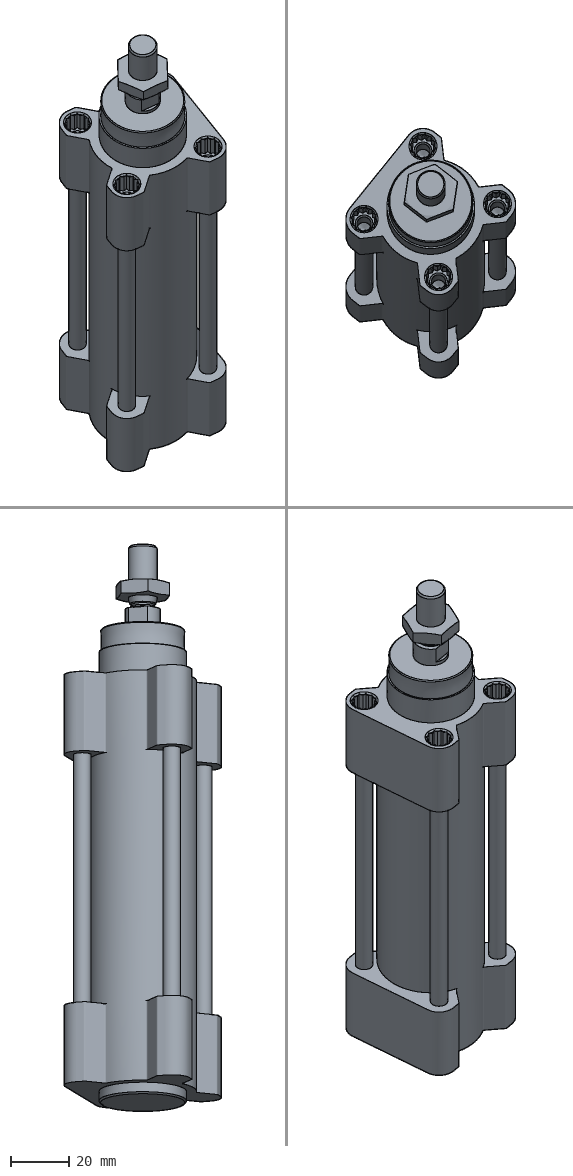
import cadquery as cq
import math

TOTAL_HEIGHT = 195.1
BOSS_HEIGHT = 3.9
CAP_HEIGHT = 27.9
HEAD_CAP_TOP = 147.9
COLLAR_TOP = 158.0
BEARING_TOP = 165.8
ROD_SHOULDER = 173.0
NUT_TOP = 182.0
NUT_HEIGHT = 4.9
HEAD_CAP_BOTTOM = HEAD_CAP_TOP - CAP_HEIGHT
REAR_CAP_TOP = BOSS_HEIGHT + CAP_HEIGHT

CAP_WIDTH = 45.0
BARREL_DIAMETER = 37.0
TIE_ROD_DIAMETER = 6.0
LUG_RADIUS = 6.2
LUG_FLAT = 3.1
LUG_EDGE_FILLET = 0.8
LUG_ROOT_FILLET = 0.5
CAP_EDGE = CAP_WIDTH / 2
LUG_CENTER = CAP_EDGE - LUG_RADIUS
LUG_FLANK = LUG_CENTER - LUG_FLAT
FLANK_REACH = CAP_EDGE - LUG_FLANK

COLLAR_DIAMETER = 30.0
BOSS_CHAMFER = 0.5
BEARING_DIAMETER = 28.9
BEARING_WAIST = 0.2
BEARING_CHAMFER = 0.4
BEARING_LAND = 0.4

SOCKET_MOUTH_DIAMETER = 9.5
SOCKET_DIAMETER = 9.0
SOCKET_DEPTH = 7.8
SOCKET_MOUTH_CHAMFER = 0.5
SOCKET_SQUARES = 3
SCREW_MOUTH_DIAMETER = 6.0
SCREW_CORE_DIAMETER = 4.9
SCREW_CORE_DEPTH = 17.5
DRILL_POINT_ANGLE = 118.0

ROD_DIAMETER = 12.0
ROD_FLAT_WIDTH = 10.0
ROD_FLAT_LENGTH = 5.9
THREAD_DIAMETER = 10.0
THREAD_END_DIAMETER = 9.0
THREAD_TIP_CHAMFER = 0.8
THREAD_BOTTOM = 176.8
RELIEF_DIAMETER = 8.2
RELIEF_HEIGHT = 0.5
RELIEF_OFFSET = 1.0
RELIEF_FOOT = 0.4

NUT_SIDES = 6
NUT_WIDTH = 17.0
NUT_CORNER_DIAMETER = NUT_WIDTH / math.cos(math.pi / NUT_SIDES)
NUT_CHAMFER_ANGLE = 15.0


def cylinder(diameter, bottom, top):
    return cq.Workplane("XY").workplane(offset=bottom).circle(diameter / 2).extrude(top - bottom)


def lug_points():
    return [(x * LUG_CENTER, y * LUG_CENTER) for x in (-1, 1) for y in (-1, 1)]


def lug_arm(x_side, y_side, height):
    """Corner lug: rounded outside, with parallel 45-degree flanks running to the cap center."""
    mid = LUG_CENTER + LUG_RADIUS * math.sqrt(0.5)
    return (
        cq.Workplane("XY")
        .moveTo(x_side * FLANK_REACH, 0)
        .lineTo(x_side * CAP_EDGE, y_side * LUG_FLANK)
        .lineTo(x_side * CAP_EDGE, y_side * LUG_CENTER)
        .threePointArc((x_side * mid, y_side * mid), (x_side * LUG_CENTER, y_side * CAP_EDGE))
        .lineTo(x_side * LUG_FLANK, y_side * CAP_EDGE)
        .lineTo(0, y_side * FLANK_REACH)
        .lineTo(0, 0)
        .close()
        .extrude(height)
    )


def end_cap(bottom):
    cap = cylinder(BARREL_DIAMETER, 0, CAP_HEIGHT)
    for x_side in (-1, 1):
        for y_side in (-1, 1):
            cap = cap.union(lug_arm(x_side, y_side, CAP_HEIGHT))
    web = cq.Workplane("XY").rect(2 * LUG_CENTER, CAP_EDGE, centered=(True, False)).extrude(CAP_HEIGHT)
    cap = cap.union(web)
    near = (math.sqrt(BARREL_DIAMETER ** 2 / 2 - FLANK_REACH ** 2) - FLANK_REACH) / 2
    far = near + FLANK_REACH
    for along, out, radius in ((LUG_FLANK, CAP_EDGE, LUG_EDGE_FILLET), (near, far, LUG_ROOT_FILLET)):
        for side in (-1, 1):
            for x, y in ((side * out, along), (side * out, -along), (side * along, -out)):
                corner = cq.selectors.NearestToPointSelector((x, y, CAP_HEIGHT / 2))
                cap = cap.edges(corner).fillet(radius)
    return cap.translate((0, 0, bottom))


def bearing_nose():
    """Nose above the collar, with a shallow concave flank and a chamfered top."""
    radius = BEARING_DIAMETER / 2
    flank_bottom = COLLAR_TOP + BEARING_LAND
    shoulder = BEARING_TOP - BEARING_CHAMFER
    return (
        cq.Workplane("XZ")
        .moveTo(0, COLLAR_TOP)
        .lineTo(radius, COLLAR_TOP)
        .lineTo(radius, flank_bottom)
        .threePointArc((radius - BEARING_WAIST, (flank_bottom + shoulder) / 2), (radius, shoulder))
        .lineTo(radius - BEARING_CHAMFER, BEARING_TOP)
        .lineTo(0, BEARING_TOP)
        .close()
        .revolve(360, (0, 0, 0), (0, 1, 0))
    )


def socket_recess():
    """Three squares turned 30 degrees apart make the twelve-point recess; a cone opens its mouth."""
    floor = HEAD_CAP_TOP - SOCKET_DEPTH
    turn = 90.0 / SOCKET_SQUARES
    recess = (
        cq.Workplane("XY")
        .workplane(offset=HEAD_CAP_TOP - SOCKET_MOUTH_CHAMFER)
        .circle(SOCKET_MOUTH_DIAMETER / 2 - SOCKET_MOUTH_CHAMFER)
        .workplane(offset=SOCKET_MOUTH_CHAMFER)
        .circle(SOCKET_MOUTH_DIAMETER / 2)
        .loft(ruled=True)
    )
    for index in range(SOCKET_SQUARES):
        square = cq.Workplane("XY").workplane(offset=floor).polygon(4, SOCKET_DIAMETER).extrude(SOCKET_DEPTH)
        recess = recess.union(square.rotate((0, 0, 0), (0, 0, 1), index * turn))
    return recess


def screw_core():
    """Core hole below the recess, with a chamfered mouth and a conical drill point."""
    core_radius = SCREW_CORE_DIAMETER / 2
    mouth_radius = SCREW_MOUTH_DIAMETER / 2
    top = HEAD_CAP_TOP - SOCKET_DEPTH
    floor = HEAD_CAP_TOP - SCREW_CORE_DEPTH
    point_height = core_radius / math.tan(math.radians(DRILL_POINT_ANGLE / 2))
    return (
        cq.Workplane("XZ")
        .moveTo(0, top)
        .lineTo(mouth_radius, top)
        .lineTo(core_radius, top - (mouth_radius - core_radius))
        .lineTo(core_radius, floor)
        .lineTo(0, floor - point_height)
        .close()
        .revolve(360, (0, 0, 0), (0, 1, 0))
    )


def make_housing():
    body = cylinder(COLLAR_DIAMETER, 0, BOSS_HEIGHT).faces("<Z").chamfer(BOSS_CHAMFER)
    body = body.union(end_cap(BOSS_HEIGHT))
    body = body.union(cylinder(BARREL_DIAMETER, REAR_CAP_TOP, HEAD_CAP_BOTTOM))
    for x, y in lug_points():
        tie_rod = cylinder(TIE_ROD_DIAMETER, REAR_CAP_TOP, HEAD_CAP_BOTTOM)
        body = body.union(tie_rod.translate((x, y, 0)))
    body = body.union(end_cap(HEAD_CAP_BOTTOM))
    body = body.union(cylinder(COLLAR_DIAMETER, HEAD_CAP_TOP, COLLAR_TOP))
    body = body.union(bearing_nose())
    rod_bore = cylinder(ROD_DIAMETER, HEAD_CAP_BOTTOM, BEARING_TOP)
    for x, y in lug_points():
        body = body.cut(socket_recess().translate((x, y, 0)))
        body = body.cut(screw_core().translate((x, y, 0)))
    return body.cut(rod_bore)


def threaded_end():
    """Thread core above the shoulder: waisted relief, tapered run-out, full diameter, beveled tip."""
    end_radius = THREAD_END_DIAMETER / 2
    neck_radius = RELIEF_DIAMETER / 2
    thread_radius = THREAD_DIAMETER / 2
    foot = ROD_SHOULDER + RELIEF_FOOT
    neck_bottom = ROD_SHOULDER + RELIEF_OFFSET
    neck_top = neck_bottom + RELIEF_HEIGHT
    taper_bottom = neck_top + end_radius - neck_radius
    return (
        cq.Workplane("XZ")
        .moveTo(0, ROD_SHOULDER)
        .lineTo(end_radius, ROD_SHOULDER)
        .lineTo(end_radius, foot)
        .lineTo(neck_radius, neck_bottom)
        .lineTo(neck_radius, neck_top)
        .lineTo(end_radius, taper_bottom)
        .lineTo(thread_radius, THREAD_BOTTOM)
        .lineTo(thread_radius, TOTAL_HEIGHT - THREAD_TIP_CHAMFER)
        .lineTo(end_radius, TOTAL_HEIGHT)
        .lineTo(0, TOTAL_HEIGHT)
        .close()
        .revolve(360, (0, 0, 0), (0, 1, 0))
    )


def make_piston_rod():
    rod = cylinder(ROD_DIAMETER, HEAD_CAP_BOTTOM, ROD_SHOULDER)
    flat_depth = (ROD_DIAMETER - ROD_FLAT_WIDTH) / 2
    flat_center = (ROD_FLAT_WIDTH + flat_depth) / 2
    for side in (-1, 1):
        cutter = cq.Workplane("XY").box(flat_depth, ROD_DIAMETER, ROD_FLAT_LENGTH)
        rod = rod.cut(cutter.translate((side * flat_center, 0, ROD_SHOULDER - ROD_FLAT_LENGTH / 2)))
    return rod.union(threaded_end())


def make_nut():
    bottom = NUT_TOP - NUT_HEIGHT
    hexagon = (
        cq.Workplane("XY")
        .workplane(offset=bottom)
        .polygon(NUT_SIDES, NUT_CORNER_DIAMETER)
        .extrude(NUT_HEIGHT)
    )
    hexagon = hexagon.rotate((0, 0, 0), (0, 0, 1), 90)
    corner_inset = (NUT_CORNER_DIAMETER - NUT_WIDTH) / 2
    corner_drop = corner_inset * math.tan(math.radians(NUT_CHAMFER_ANGLE))
    envelope = cylinder(NUT_CORNER_DIAMETER, bottom, NUT_TOP)
    envelope = envelope.faces("<Z or >Z").chamfer(corner_drop, corner_inset)
    return hexagon.intersect(envelope).cut(cylinder(THREAD_DIAMETER, bottom, NUT_TOP))


housing = make_housing()
piston_rod = make_piston_rod()
nut = make_nut()

result = cq.Compound.makeCompound([housing.solids().val(), piston_rod.solids().val(), nut.solids().val()])